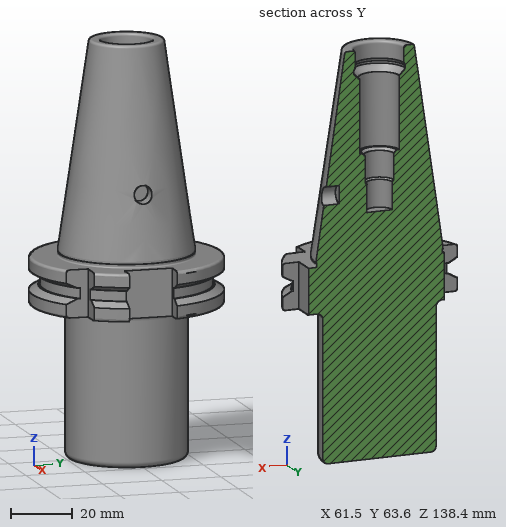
import math

import cadquery as cq

GAUGE_RADIUS = 44.45 / 2
TAPER_LENGTH = 68.4
TAPER_SLOPE = 7 / 48
TIP_FILLET = 1.0
TAPER_END_Z = -1.0
COLLAR_END_Z = -1.9
UNDERCUT_RADIUS = 22.1
UNDERCUT_FILLET = 0.5

FLANGE_RADIUS = 63.55 / 2
FLANGE_TOP_Z = -3.2
FLANGE_BOTTOM_Z = -19.1
FLANGE_FILLET = 1.0
GROOVE_RADIUS = 56.25 / 2
GROOVE_CENTER_Z = -11.1
GROOVE_FLOOR_WIDTH = 3.5
GROOVE_MOUTH_WIDTH = 7.0
GROOVE_FLANK_ANGLE = 30.0

SLOT_WIDTH = 16.1
LEFT_SLOT_FLOOR_X = -22.8
RIGHT_SLOT_FLOOR_X = 25.0
NOTCH_CORNER = 18.5

NOSE_RADIUS = 20.0
NOSE_END_Z = -70.0
NOSE_FILLET = 2.0

BORE_RADIUS = 8.5
BORE_MOUTH_FILLET = 0.9
BORE_DEPTH = 8.4
BORE_FLOOR_ANGLE = 45.0
RELIEF_RADIUS = 9.0
RELIEF_START_DEPTH = 5.9
RELIEF_FLOOR_START_DEPTH = 6.9
RELIEF_FLOOR_END_DEPTH = 7.7
THREAD_RADIUS = 6.9
THREAD_DEPTH = 35.0
INNER_MOUTH_RADIUS = 6.0
INNER_RADIUS = 5.0
INNER_DEPTH = 45.0
PILOT_RADIUS = 4.4
PILOT_DEPTH = 55.0

SIDE_HOLE_DIAMETER = 6.0
SIDE_HOLE_Z = 20.4
SIDE_HOLE_DEPTH = 5.0


def taper_radius(z):
    return GAUGE_RADIUS - z * TAPER_SLOPE


def make_body():
    """Taper, flange and nose turned as one profile (radius, height)."""
    collar_radius = taper_radius(TAPER_END_Z)
    taper_angle = math.atan(TAPER_SLOPE)
    tip_radius = taper_radius(TAPER_LENGTH)
    tip_tangent = TIP_FILLET * math.tan((math.pi / 2 - taper_angle) / 2)
    tip_fillet_z = TAPER_LENGTH - tip_tangent * math.cos(taper_angle)
    floor_half = GROOVE_FLOOR_WIDTH / 2
    mouth_half = GROOVE_MOUTH_WIDTH / 2
    flank_depth = (mouth_half - floor_half) / math.tan(math.radians(GROOVE_FLANK_ANGLE))
    flank_foot_radius = FLANGE_RADIUS - flank_depth
    profile = (
        cq.Workplane("XZ")
        .moveTo(0, TAPER_LENGTH)
        .lineTo(tip_radius - tip_tangent, TAPER_LENGTH)
        .radiusArc((taper_radius(tip_fillet_z), tip_fillet_z), TIP_FILLET)
        .lineTo(collar_radius, TAPER_END_Z)
        .lineTo(collar_radius, COLLAR_END_Z)
        .lineTo(UNDERCUT_RADIUS, COLLAR_END_Z)
        .lineTo(UNDERCUT_RADIUS, FLANGE_TOP_Z + UNDERCUT_FILLET)
        .radiusArc((UNDERCUT_RADIUS + UNDERCUT_FILLET, FLANGE_TOP_Z), -UNDERCUT_FILLET)
        .lineTo(FLANGE_RADIUS - FLANGE_FILLET, FLANGE_TOP_Z)
        .radiusArc((FLANGE_RADIUS, FLANGE_TOP_Z - FLANGE_FILLET), FLANGE_FILLET)
        .lineTo(FLANGE_RADIUS, GROOVE_CENTER_Z + mouth_half)
        .lineTo(flank_foot_radius, GROOVE_CENTER_Z + floor_half)
        .lineTo(GROOVE_RADIUS, GROOVE_CENTER_Z + floor_half)
        .lineTo(GROOVE_RADIUS, GROOVE_CENTER_Z - floor_half)
        .lineTo(flank_foot_radius, GROOVE_CENTER_Z - floor_half)
        .lineTo(FLANGE_RADIUS, GROOVE_CENTER_Z - mouth_half)
        .lineTo(FLANGE_RADIUS, FLANGE_BOTTOM_Z + FLANGE_FILLET)
        .radiusArc((FLANGE_RADIUS - FLANGE_FILLET, FLANGE_BOTTOM_Z), FLANGE_FILLET)
        .lineTo(NOSE_RADIUS + NOSE_FILLET, FLANGE_BOTTOM_Z)
        .radiusArc((NOSE_RADIUS, FLANGE_BOTTOM_Z - NOSE_FILLET), -NOSE_FILLET)
        .lineTo(NOSE_RADIUS, NOSE_END_Z + NOSE_FILLET)
        .radiusArc((NOSE_RADIUS - NOSE_FILLET, NOSE_END_Z), NOSE_FILLET)
        .lineTo(0, NOSE_END_Z)
        .close()
    )
    return profile.revolve(360, (0, 0, 0), (0, 1, 0))


def make_bore():
    """Stepped bore: round-mouthed counterbore with relief, thread core, inner thread core and pilot."""
    thread_start = BORE_DEPTH + (BORE_RADIUS - THREAD_RADIUS) * math.tan(math.radians(BORE_FLOOR_ANGLE))
    inner_start = THREAD_DEPTH + INNER_MOUTH_RADIUS - INNER_RADIUS
    pilot_start = INNER_DEPTH + INNER_RADIUS - PILOT_RADIUS
    outline = (
        cq.Workplane("XZ", origin=(0, 0, TAPER_LENGTH))
        .lineTo(BORE_RADIUS + BORE_MOUTH_FILLET, 0)
        .radiusArc((BORE_RADIUS, -BORE_MOUTH_FILLET), -BORE_MOUTH_FILLET)
        .lineTo(BORE_RADIUS, -RELIEF_START_DEPTH)
        .lineTo(RELIEF_RADIUS, -RELIEF_FLOOR_START_DEPTH)
        .lineTo(RELIEF_RADIUS, -RELIEF_FLOOR_END_DEPTH)
        .lineTo(BORE_RADIUS, -BORE_DEPTH)
        .lineTo(THREAD_RADIUS, -thread_start)
        .lineTo(THREAD_RADIUS, -THREAD_DEPTH)
        .lineTo(INNER_MOUTH_RADIUS, -THREAD_DEPTH)
        .lineTo(INNER_RADIUS, -inner_start)
        .lineTo(INNER_RADIUS, -INNER_DEPTH)
        .lineTo(PILOT_RADIUS, -pilot_start)
        .lineTo(PILOT_RADIUS, -PILOT_DEPTH)
        .lineTo(0, -PILOT_DEPTH)
        .close()
    )
    return outline.revolve(360, (0, 0, 0), (0, 1, 0))


def flange_cutter(x_min, x_max, y_min, y_max):
    """Box over the full flange width, bounded in X and Y."""
    return cq.Workplane("XY").box(
        x_max - x_min, y_max - y_min, FLANGE_TOP_Z - FLANGE_BOTTOM_Z, centered=False
    ).translate((x_min, y_min, FLANGE_BOTTOM_Z))


def make_side_hole():
    floor_x = taper_radius(SIDE_HOLE_Z) - SIDE_HOLE_DEPTH
    return (
        cq.Workplane("YZ", origin=(floor_x, 0, SIDE_HOLE_Z))
        .circle(SIDE_HOLE_DIAMETER / 2)
        .extrude(2 * SIDE_HOLE_DEPTH)
    )


half_slot = SLOT_WIDTH / 2
result = (
    make_body()
    .cut(make_bore())
    .cut(flange_cutter(-FLANGE_RADIUS, LEFT_SLOT_FLOOR_X, -half_slot, half_slot))
    .cut(flange_cutter(RIGHT_SLOT_FLOOR_X, FLANGE_RADIUS, -half_slot, half_slot))
    .cut(flange_cutter(NOTCH_CORNER, FLANGE_RADIUS, -FLANGE_RADIUS, -NOTCH_CORNER))
    .cut(make_side_hole())
)